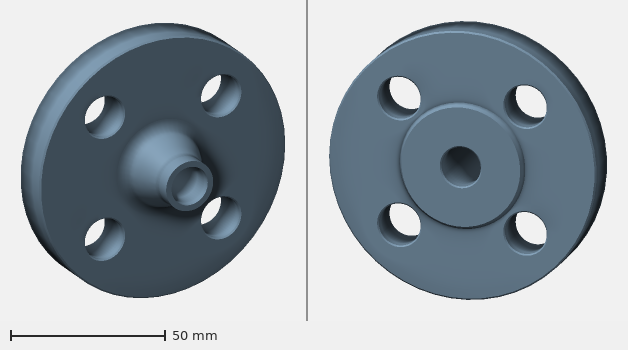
import cadquery as cq
import math

total_length = 35.0
disc_radius = 45.0
disc_front = 2.0
disc_back = 16.0
disc_chamfer = 0.5

face_radius = 20.0
face_base_radius = 21.15

pipe_radius = 17.2 / 2
pipe_length = 6.0
cone_base_radius = 14.0
neck_fillet = 4.0

bore_diameter = 13.2
bolt_hole_diameter = 14.0
bolt_circle_diameter = 60.0
bolt_count = 4
edge_chamfer = 0.45


def flange_body():
    """Revolve the half section: raised face, disc, conical neck and pipe end."""
    cone_end = total_length - pipe_length
    cone_slope = math.atan2(cone_base_radius - pipe_radius, cone_end - disc_back)

    root_tangent = neck_fillet * math.tan((math.pi / 2 - cone_slope) / 2)
    pipe_tangent = neck_fillet * math.tan(cone_slope / 2)

    cone_start_point = (
        disc_back + root_tangent * math.cos(cone_slope),
        cone_base_radius - root_tangent * math.sin(cone_slope),
    )
    cone_end_point = (
        cone_end - pipe_tangent * math.cos(cone_slope),
        pipe_radius + pipe_tangent * math.sin(cone_slope),
    )
    section = (
        cq.Workplane("XY")
        .moveTo(0, 0)
        .lineTo(0, face_radius)
        .lineTo(disc_front, face_base_radius)
        .lineTo(disc_front, disc_radius - disc_chamfer)
        .lineTo(disc_front + disc_chamfer, disc_radius)
        .lineTo(disc_back - disc_chamfer, disc_radius)
        .lineTo(disc_back, disc_radius - disc_chamfer)
        .lineTo(disc_back, cone_base_radius + root_tangent)
        .radiusArc(cone_start_point, -neck_fillet)
        .lineTo(*cone_end_point)
        .radiusArc((cone_end + pipe_tangent, pipe_radius), -neck_fillet)
        .lineTo(total_length, pipe_radius)
        .lineTo(total_length, 0)
        .close()
    )
    return section.revolve(360, (0, 0, 0), (1, 0, 0))


def hole_cutter(diameter, start, end, back_chamfer=0):
    """Hole along X, chamfered at its front end and, if back_chamfer is set, at its back."""
    radius = diameter / 2
    section = (
        cq.Workplane("XY")
        .moveTo(start, 0)
        .lineTo(start, radius + edge_chamfer)
        .lineTo(start + edge_chamfer, radius)
        .lineTo(end - back_chamfer, radius)
    )
    if back_chamfer > 0:
        section = section.lineTo(end, radius + back_chamfer)
    section = section.lineTo(end, 0).close()
    return section.revolve(360, (0, 0, 0), (1, 0, 0))


result = flange_body().cut(hole_cutter(bore_diameter, 0, total_length))

for index in range(bolt_count):
    angle = math.radians(360 / bolt_count * (index + 0.5))
    y = bolt_circle_diameter / 2 * math.cos(angle)
    z = bolt_circle_diameter / 2 * math.sin(angle)
    cutter = hole_cutter(bolt_hole_diameter, disc_front, disc_back, edge_chamfer)
    result = result.cut(cutter.translate((0, y, z)))